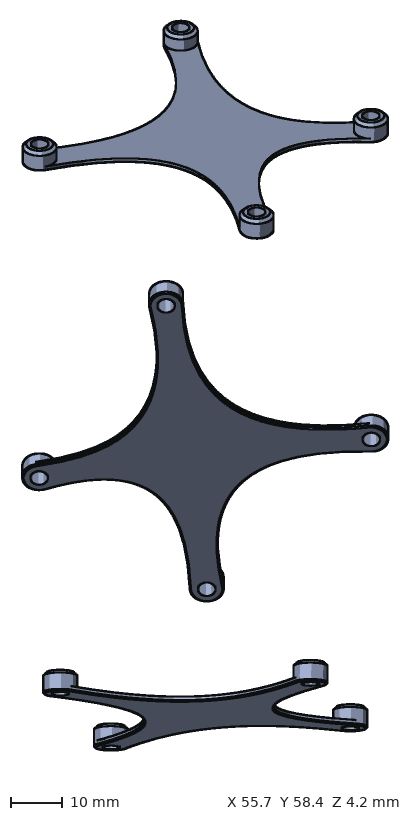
import cadquery as cq
import math

length_x = 55.7
length_y = 58.4
height = 4.2
plate_thickness = 1.0

boss_diameter = 6.6
boss_radius = boss_diameter / 2
hole_diameter = 3.4
top_chamfer = 0.7
bottom_chamfer = 0.3

span_x = length_x - boss_diameter
span_y = length_y - boss_diameter
back_right_x = 48.7
back_right_y = 42.65
front_left = (0, 0)
front_right = (span_x, 0)
back_right = (back_right_x, back_right_y)
back_left = (0, span_y)
boss_centres = [front_left, front_right, back_right, back_left]

sides = [
    (front_left, 321.2, (24.25, 11.9), front_right, 219.2),
    (front_right, 47.7, (38.25, 27.8), back_right, 298.9),
    (back_right, 129.5, (32.55, 37.7), back_left, 38.3),
    (back_left, 227.9, (11.1, 25.95), front_left, 132.3),
]


def contact_point(centre, angle):
    """Point on the rim of a boss at the given angle in degrees."""
    turn = math.radians(angle)
    return (centre[0] + boss_radius * math.cos(turn), centre[1] + boss_radius * math.sin(turn))


def side_tangent(angle):
    """Unit direction in which a side runs past a boss rim at the given contact angle."""
    turn = math.radians(angle)
    return (-math.sin(turn), math.cos(turn))


def rim_midpoint(centre, arrival_angle, departure_angle):
    """Point halfway along the counterclockwise rim arc between two contact points."""
    sweep = (departure_angle - arrival_angle) % 360
    return contact_point(centre, arrival_angle + sweep / 2)


def make_plate():
    """Four-armed plate whose sides leave and meet the boss rims tangentially."""
    outline = cq.Workplane("XY").moveTo(*contact_point(front_left, sides[0][1]))
    for index, (start, start_angle, middle, end, end_angle) in enumerate(sides):
        outline = outline.spline(
            [middle, contact_point(end, end_angle)],
            tangents=[side_tangent(start_angle), side_tangent(end_angle)],
            includeCurrent=True,
        )
        departure_angle = sides[(index + 1) % len(sides)][1]
        outline = outline.threePointArc(
            rim_midpoint(end, end_angle, departure_angle),
            contact_point(end, departure_angle),
        )
    return outline.close().extrude(plate_thickness).faces("<Z").chamfer(bottom_chamfer)


def make_bosses():
    """Cylindrical bosses, chamfered on both outer rims."""
    return (
        cq.Workplane("XY")
        .pushPoints(boss_centres)
        .circle(boss_radius)
        .extrude(height)
        .faces(">Z")
        .chamfer(top_chamfer)
        .faces("<Z")
        .chamfer(bottom_chamfer)
    )


def make_holes():
    """Through-hole cutters on the boss axes."""
    return cq.Workplane("XY").pushPoints(boss_centres).circle(hole_diameter / 2).extrude(height)


result = make_plate().union(make_bosses()).cut(make_holes())